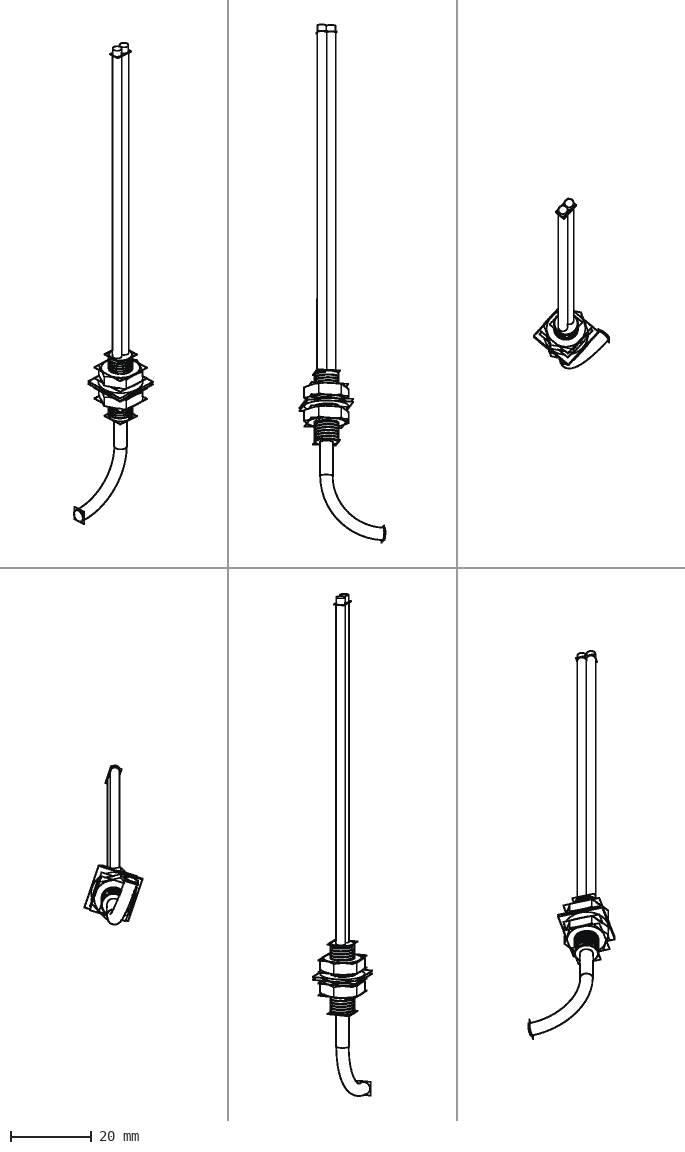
import cadquery as cq
import math

PLATE_THICKNESS = 0.07

THREAD_DIAMETER = 6.0
THREAD_PITCH = 0.75
GROOVE_DEPTH = 0.1
GROOVE_WIDTH = 0.2
GROOVE_CLEARANCE = 0.07
THREAD_BOTTOM = 24.6
THREAD_LENGTH = 17.9
THREAD_TOP = THREAD_BOTTOM + THREAD_LENGTH
THREAD_CHAMFER = 0.3
THREAD_RUNOUT = 0.5
HOUSING_PLATE_SIDE = 5.8
SLEEVE_DIAMETER = 3.3
SLEEVE_BOTTOM = 15.9

NUT_COUNT = 2
NUT_ACROSS_FLATS = 9.9
NUT_ACROSS_CORNERS = NUT_ACROSS_FLATS / math.cos(math.pi / 6)
NUT_HEIGHT = 3.2
NUT_SPACING = 5.9
LOWER_NUT_BOTTOM = 29.6
NUT_FACE_DIAMETER = 9.0
NUT_CHAMFER_HEIGHT = 0.3
NUT_PLATE_SIDE = 9.3

WASHER_DIAMETER = 11.0
WASHER_PLATE_SIDE = 11.5
WASHER_BOTTOM = 33.8
WASHER_THICKNESS = 0.8

ROD_DIAMETER = 2.4
ROD_PLATE_WIDTH = 2.8
TIP_DIAMETER = 2.2
TIP_LENGTH = 1.7
TOTAL_HEIGHT = 131.5
TIP_BOTTOM = TOTAL_HEIGHT - TIP_LENGTH

CABLE_DIAMETER = 3.2
CABLE_PLATE_SIDE = 3.5
TOTAL_DEPTH = 20.4
CABLE_END_Y = WASHER_PLATE_SIDE / 2 - TOTAL_DEPTH
CABLE_STUB_LENGTH = 0.4
CABLE_END_Z = CABLE_PLATE_SIDE / 2
BEND_RADIUS = SLEEVE_BOTTOM - CABLE_END_Z


def disc(diameter, bottom, height):
    return cq.Workplane("XY", origin=(0, 0, bottom)).circle(diameter / 2).extrude(height)


def plate(width, depth, bottom):
    return cq.Workplane("XY", origin=(0, 0, bottom)).rect(width, depth).extrude(PLATE_THICKNESS)


def add_end_plates(body, side, bottom, height):
    """Add a thin square plate flush with the lower face and another flush with the upper face."""
    lower = plate(side, side, bottom)
    upper = plate(side, side, bottom + height - PLATE_THICKNESS)
    return body.union(lower).union(upper)


def thread_groove():
    """Right-handed V groove that stops just short of the chamfer at both ends of the thread."""
    crest = THREAD_DIAMETER / 2
    start = THREAD_BOTTOM + THREAD_RUNOUT
    length = THREAD_LENGTH - 2 * THREAD_RUNOUT
    mouth = GROOVE_WIDTH / 2 * (GROOVE_DEPTH + GROOVE_CLEARANCE) / GROOVE_DEPTH
    helix = cq.Wire.makeHelix(THREAD_PITCH, length, crest).translate(cq.Vector(0, 0, start))
    profile = cq.Workplane("XZ").polyline([
        (crest - GROOVE_DEPTH, start),
        (crest + GROOVE_CLEARANCE, start - mouth),
        (crest + GROOVE_CLEARANCE, start + mouth),
    ]).close()
    return profile.sweep(cq.Workplane(helix), isFrenet=True)


def make_housing():
    thread = disc(THREAD_DIAMETER, THREAD_BOTTOM, THREAD_LENGTH).edges().chamfer(THREAD_CHAMFER)
    thread = thread.cut(thread_groove())
    thread = add_end_plates(thread, HOUSING_PLATE_SIDE, THREAD_BOTTOM, THREAD_LENGTH)
    sleeve = disc(SLEEVE_DIAMETER, SLEEVE_BOTTOM, THREAD_BOTTOM - SLEEVE_BOTTOM)
    return thread.union(sleeve)


def make_nut(bottom):
    hexagon = (
        cq.Workplane("XY", origin=(0, 0, bottom))
        .polygon(6, NUT_ACROSS_CORNERS).extrude(NUT_HEIGHT)
        .rotate((0, 0, 0), (0, 0, 1), 90)
    )
    chamfer_width = (NUT_ACROSS_CORNERS - NUT_FACE_DIAMETER) / 2
    blank = disc(NUT_ACROSS_CORNERS, bottom, NUT_HEIGHT)
    for face in ("<Z", ">Z"):
        blank = blank.faces(face).chamfer(NUT_CHAMFER_HEIGHT, chamfer_width)
    nut = add_end_plates(hexagon.intersect(blank), NUT_PLATE_SIDE, bottom, NUT_HEIGHT)
    return nut.cut(disc(THREAD_DIAMETER, bottom, NUT_HEIGHT))


def make_washer():
    ring = disc(WASHER_DIAMETER, WASHER_BOTTOM, WASHER_THICKNESS)
    washer = add_end_plates(ring, WASHER_PLATE_SIDE, WASHER_BOTTOM, WASHER_THICKNESS)
    return washer.cut(disc(THREAD_DIAMETER, WASHER_BOTTOM, WASHER_THICKNESS))


def make_rod(y):
    """Rod from the top of the housing to its tip; its plate spans the rod exactly along Y."""
    rod = disc(ROD_DIAMETER, THREAD_TOP, TIP_BOTTOM - THREAD_TOP)
    rod = rod.union(plate(ROD_PLATE_WIDTH, ROD_DIAMETER, TIP_BOTTOM - PLATE_THICKNESS))
    return rod.translate((0, y, 0))


def make_tip(y):
    return disc(TIP_DIAMETER, TIP_BOTTOM, TIP_LENGTH).translate((0, y, 0))


def make_cable():
    path = (
        cq.Workplane("YZ").moveTo(0, SLEEVE_BOTTOM)
        .radiusArc((-BEND_RADIUS, CABLE_END_Z), BEND_RADIUS)
        .lineTo(CABLE_END_Y, CABLE_END_Z)
    )
    tube = cq.Workplane("XY", origin=(0, 0, SLEEVE_BOTTOM)).circle(CABLE_DIAMETER / 2).sweep(path)
    end_plate = (
        cq.Workplane("XZ", origin=(0, CABLE_END_Y + CABLE_STUB_LENGTH, CABLE_END_Z))
        .rect(CABLE_PLATE_SIDE, CABLE_PLATE_SIDE).extrude(PLATE_THICKNESS)
    )
    return tube.union(end_plate)


rod_places = [side * ROD_DIAMETER / 2 for side in (-1, 1)]

housing = make_housing()
nuts = [make_nut(LOWER_NUT_BOTTOM + i * NUT_SPACING) for i in range(NUT_COUNT)]
washer = make_washer()
rods = [make_rod(y) for y in rod_places]
tips = [make_tip(y) for y in rod_places]
cable = make_cable()

bodies = [housing, *nuts, washer, *rods, *tips, cable]
result = cq.Compound.makeCompound([body.solids().val() for body in bodies])